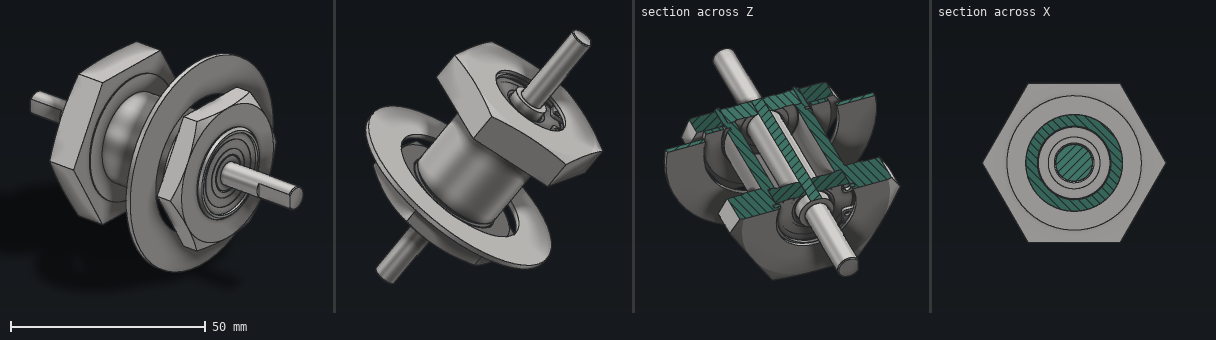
import cadquery as cq
import math


SHAFT_LENGTH = 86.1
SHAFT_DIA = 6.4
JOURNAL_DIA = 9.6
JOURNAL_START = 22.5
JOURNAL_END = SHAFT_LENGTH - JOURNAL_START
FLAT_LENGTH = 10.3
FLAT_DEPTH = 0.7
SHAFT_CHAMFER = 0.3

HEAD_START = 22.7
HEAD_LENGTH = 8.9
HEAD_FLATS = 41.1
HEAD_CHAMFER = 0.9
FACE_DIA = 34.6
FACE_HEIGHT = 0.35
BARREL_DIA = 25.0
BARREL_END = 55.45
BARREL_CHAMFER = 0.4
RELIEF_DIA = 22.65
HOUSING_END = 64.4
THREAD_CHAMFER = 0.7
CLEARANCE_BORE_DIA = 18.9

BEARING_DIA = 22.2
BEARING_BORE = JOURNAL_DIA
BEARING_WIDTH = 5.6
BEARING_BORE_CHAMFER = 0.35
INNER_RACE_DIA = 13.35
OUTER_RACE_DIA = 18.4
SHIELD_RECESS = 0.2

RING_INSET = 0.95
RING_THICKNESS = 1.0
RING_DIA = 24.1
RING_INNER_DIA = 22.05
RING_OFFSET = 0.7
LUG_INNER_Y = 7.75
LUG_INNER_Z = 3.0
LUG_OUTER_Z = 7.5
LUG_RADIUS = 0.9
LUG_HOLE_DIA = 1.55
LUG_HOLE_Y = 9.1
LUG_HOLE_Z = 4.5

SPRING_DIA = 21.8
SPRING_BORE = 11.7
SPRING_THICKNESS = 0.1
SPRING_BEND_RADIUS = 206.7

PANEL_WASHER_DIA = 58.5
PANEL_WASHER_BORE = 37.55
PANEL_WASHER_START = 53.5
PANEL_WASHER_THICKNESS = 1.4
LOCK_WASHER_DIA = 35.4
LOCK_WASHER_BORE = 25.7
LOCK_WASHER_START = 56.15
LOCK_WASHER_THICKNESS = 1.5
NUT_FLATS = 37.5
NUT_LENGTH = 5.8
NUT_CHAMFER = 1.4

HEAD_END = HEAD_START + HEAD_LENGTH
LOCK_WASHER_END = LOCK_WASHER_START + LOCK_WASHER_THICKNESS
RELIEF_END = LOCK_WASHER_START
NUT_END = LOCK_WASHER_END + NUT_LENGTH
RING_START = HEAD_START + RING_INSET
RING_END = RING_START + RING_THICKNESS
SPRING_SAG = SPRING_BEND_RADIUS - math.sqrt(SPRING_BEND_RADIUS**2 - (SPRING_DIA / 2) ** 2)
LEFT_BEARING_START = RING_END + SPRING_THICKNESS + SPRING_SAG
LEFT_BEARING_END = LEFT_BEARING_START + BEARING_WIDTH
RIGHT_BEARING_START = JOURNAL_END - BEARING_WIDTH


def cylinder(diameter, start, end):
    """Solid cylinder on the X axis between two x positions."""
    return cq.Workplane("YZ", origin=(start, 0, 0)).circle(diameter / 2).extrude(end - start)


def ring(outer_diameter, inner_diameter, start, end):
    """Flat ring on the X axis between two x positions."""
    profile = cq.Workplane("YZ", origin=(start, 0, 0)).circle(outer_diameter / 2).circle(inner_diameter / 2)
    return profile.extrude(end - start)


def hexagon(flats, start, end):
    """Hexagonal prism on the X axis with flats facing +Z and -Z."""
    corner_diameter = flats / math.cos(math.pi / 6)
    return cq.Workplane("YZ", origin=(start, 0, 0)).polygon(6, corner_diameter).extrude(end - start)


def corner_cone(flats, chamfer, face, far):
    """Turned envelope that bevels the corners of a hexagon at `face`, leaving a circle as wide as its flats."""
    face_radius = flats / 2
    corner_radius = face_radius / math.cos(math.pi / 6)
    bevel_end = face + math.copysign(chamfer, far - face)
    outline = [(face, 0), (face, face_radius), (bevel_end, corner_radius), (far, corner_radius), (far, 0)]
    return cq.Workplane("XY").polyline(outline).close().revolve(360, (0, 0), (1, 0))


def make_shaft():
    shaft = cylinder(SHAFT_DIA, 0, SHAFT_LENGTH).faces("<X or >X").chamfer(SHAFT_CHAMFER)
    shaft = shaft.union(cylinder(JOURNAL_DIA, JOURNAL_START, JOURNAL_END))
    flat_y = FLAT_DEPTH - SHAFT_DIA / 2
    for flat_start in (0, SHAFT_LENGTH - FLAT_LENGTH):
        cutter = cq.Workplane("XY").box(FLAT_LENGTH, SHAFT_DIA, SHAFT_DIA, centered=(False, False, True))
        shaft = shaft.cut(cutter.translate((flat_start, flat_y - SHAFT_DIA, 0)))
    return shaft


def make_housing():
    head = hexagon(HEAD_FLATS, HEAD_START, HEAD_END)
    head = head.intersect(corner_cone(HEAD_FLATS, HEAD_CHAMFER, HEAD_START, HEAD_END))
    face = cylinder(FACE_DIA, HEAD_END, HEAD_END + FACE_HEIGHT)
    barrel = cylinder(BARREL_DIA, HEAD_END, BARREL_END).faces(">X").chamfer(BARREL_CHAMFER)
    relief = cylinder(RELIEF_DIA, BARREL_END, RELIEF_END)
    thread = cylinder(BARREL_DIA, RELIEF_END, HOUSING_END).faces(">X").chamfer(THREAD_CHAMFER)
    housing = head.union(face).union(barrel).union(relief).union(thread)
    housing = housing.cut(cylinder(CLEARANCE_BORE_DIA, HEAD_START, HOUSING_END))
    housing = housing.cut(cylinder(BEARING_DIA, HEAD_START, LEFT_BEARING_END))
    housing = housing.cut(cylinder(BEARING_DIA, RIGHT_BEARING_START, HOUSING_END))
    return housing.cut(cylinder(RING_DIA, RING_START, RING_END))


def make_bearing(start):
    end = start + BEARING_WIDTH
    bearing = ring(BEARING_DIA, BEARING_BORE, start, end)
    bearing = bearing.edges(cq.selectors.RadiusNthSelector(0)).chamfer(BEARING_BORE_CHAMFER)
    for recess_start in (start, end - SHIELD_RECESS):
        recess = ring(OUTER_RACE_DIA, INNER_RACE_DIA, recess_start, recess_start + SHIELD_RECESS)
        bearing = bearing.cut(recess)
    return bearing


def make_retaining_ring():
    """Internal ring that narrows towards its gap on the -Y side, where two drilled lugs face each other."""
    band = cylinder(RING_DIA, RING_START, RING_END)
    blank = band.cut(cylinder(RING_INNER_DIA, RING_START, RING_END).translate((0, -RING_OFFSET, 0)))
    gap = cq.Workplane("XY").box(RING_THICKNESS, RING_DIA / 2, 2 * LUG_INNER_Z, centered=(False, False, True))
    blank = blank.cut(gap.translate((RING_START, -RING_DIA / 2, 0)))
    for side in (1, -1):
        lug = (
            cq.Workplane("YZ", origin=(RING_START, 0, 0))
            .moveTo(-RING_DIA / 2, side * LUG_INNER_Z)
            .lineTo(-LUG_INNER_Y - LUG_RADIUS, side * LUG_INNER_Z)
            .radiusArc((-LUG_INNER_Y, side * (LUG_INNER_Z + LUG_RADIUS)), -side * LUG_RADIUS)
            .lineTo(-LUG_INNER_Y, side * LUG_OUTER_Z)
            .lineTo(-RING_DIA / 2, side * LUG_OUTER_Z)
            .close()
            .extrude(RING_THICKNESS)
        )
        hole = cylinder(LUG_HOLE_DIA, RING_START, RING_END).translate((0, -LUG_HOLE_Y, side * LUG_HOLE_Z))
        blank = blank.union(lug.intersect(band)).cut(hole)
    return blank


def make_spring_washer():
    """Thin washer bent about the Y direction, its crown on the ring and its top and bottom on the bearing."""
    bend = cq.Workplane("XZ", origin=(RING_END + SPRING_BEND_RADIUS, SPRING_DIA / 2, 0))
    sheet = bend.circle(SPRING_BEND_RADIUS).circle(SPRING_BEND_RADIUS - SPRING_THICKNESS).extrude(SPRING_DIA)
    return sheet.intersect(ring(SPRING_DIA, SPRING_BORE, RING_END, LEFT_BEARING_START))


def make_panel_washer():
    end = PANEL_WASHER_START + PANEL_WASHER_THICKNESS
    return ring(PANEL_WASHER_DIA, PANEL_WASHER_BORE, PANEL_WASHER_START, end)


def make_lock_washer():
    return ring(LOCK_WASHER_DIA, LOCK_WASHER_BORE, LOCK_WASHER_START, LOCK_WASHER_END)


def make_nut():
    nut = hexagon(NUT_FLATS, LOCK_WASHER_END, NUT_END)
    nut = nut.intersect(corner_cone(NUT_FLATS, NUT_CHAMFER, NUT_END, LOCK_WASHER_END))
    return nut.cut(cylinder(BARREL_DIA, LOCK_WASHER_END, NUT_END))


shaft = make_shaft()
housing = make_housing()
bearings = [make_bearing(start) for start in (LEFT_BEARING_START, RIGHT_BEARING_START)]
retaining_ring = make_retaining_ring()
spring_washer = make_spring_washer()
panel_washer = make_panel_washer()
lock_washer = make_lock_washer()
nut = make_nut()

result = cq.Compound.makeCompound(
    [
        shaft.val(),
        housing.val(),
        *[bearing.val() for bearing in bearings],
        retaining_ring.val(),
        spring_washer.val(),
        panel_washer.val(),
        lock_washer.val(),
        nut.val(),
    ]
)